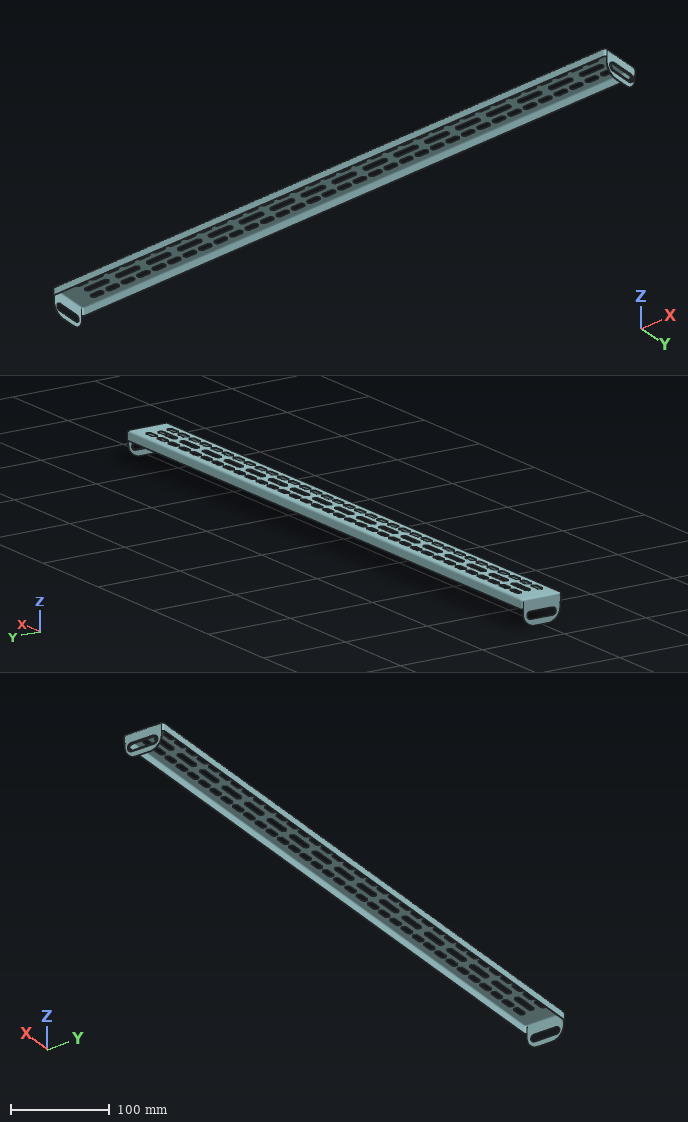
import cadquery as cq

overall_length = 718.0
overall_width = 50.0
overall_height = 30.0

sheet = 1.0
bend_radius = 3.0
skirt_height = 11.0
rim_projection = 1.5
cover_length = overall_length - rim_projection

short_slot_count = 34
short_slot_span = 660.5
short_slot_pitch = short_slot_span / (short_slot_count - 1)
short_slot_length = 16.0
long_slot_count = short_slot_count // 2
long_slot_pitch = 2 * short_slot_pitch
long_slot_length = 30.0
slot_width = 6.5
row_spacing = 13.0

tab_width = 45.0
tab_corner_radius = 14.5
opening_length = 35.0
opening_height = 8.5
opening_center_z = -19.0
rim_wall = 1.0


def make_cover():
    """Shallow tray turned upside down, with rounded bends on the outside."""
    outer = (
        cq.Workplane("XY")
        .box(cover_length, overall_width, skirt_height, centered=(True, True, False))
        .translate((0, 0, -skirt_height))
        .edges("|Z or >Z")
        .fillet(bend_radius)
    )
    return outer.faces("<Z").shell(-sheet)


def make_tab(outer_x, inward):
    """Flat tab running down from an end wall, with rounded lower corners."""
    return (
        cq.Workplane("YZ", origin=(outer_x, 0, 0))
        .center(0, -(overall_height + bend_radius) / 2)
        .rect(tab_width, overall_height - bend_radius)
        .extrude(inward * sheet)
        .edges("|X and <Z")
        .fillet(tab_corner_radius)
    )


def make_slot_row(count, pitch, length, center_y):
    """One row of round-ended drain slots cutting through the top sheet."""
    return (
        cq.Workplane("XY", origin=(0, center_y, -skirt_height / 2))
        .rarray(pitch, 7, count, 1)
        .slot2D(length, slot_width)
        .extrude(skirt_height)
    )


def opening_profile(start_x, margin=0.0):
    """Round-ended finger opening, optionally enlarged all round."""
    return cq.Workplane("YZ", origin=(start_x, 0, opening_center_z)).slot2D(
        opening_length + 2 * margin, opening_height + 2 * margin
    )


end_x = cover_length / 2

result = make_cover().union(make_tab(-end_x, 1)).union(make_tab(end_x, -1))

result = result.union(opening_profile(end_x - sheet, rim_wall).extrude(sheet + rim_projection))

result = result.cut(opening_profile(-overall_length).extrude(2 * overall_length))

for side in (-1, 1):
    result = result.cut(
        make_slot_row(short_slot_count, short_slot_pitch, short_slot_length, side * row_spacing)
    )
result = result.cut(make_slot_row(long_slot_count, long_slot_pitch, long_slot_length, 0))